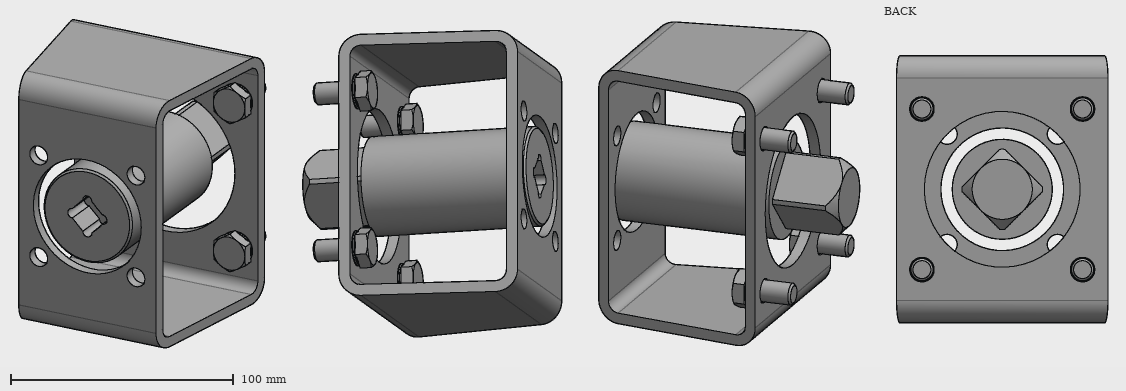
import cadquery as cq
import math

HEIGHT = 120.0
DEPTH = 80.0
WALL = 5.0
BEND_RADIUS = 10.0
BACK_WIDTH = 95.0
FRONT_WIDTH = 70.0
FRONT_BORE = 55.0
BACK_BORE = 70.0
FRONT_HOLE = 9.0
FRONT_PITCH = 49.5
BACK_HOLE = 11.0
BACK_PITCH = 72.1

SHAFT_DIAMETER = 45.0
SHAFT_EDGE = 1.0
TANG_LENGTH = 30.0
TANG_OVERHANG = 27.0
TANG_FLATS = 27.0
TANG_CORNERS = 36.0
TANG_CHAMFER = (TANG_CORNERS - TANG_FLATS) / 2
SOCKET_FLATS = 14.0
SOCKET_DEPTH = 16.0
RELIEF_RADIUS = 2.3
RELIEF_REACH = 10.0

WASHER_OUTER = 16.0
WASHER_INNER = 10.5
WASHER_THICKNESS = 0.8
WASHER_CHAMFER = 0.5

SHANK_DIAMETER = 10.0
SHANK_LENGTH = 20.0
SHANK_CHAMFER = 1.0
COLLAR_DIAMETER = 14.6
COLLAR_HEIGHT = 0.8
HEX_FLATS = 16.0
HEX_HEIGHT = 5.8
HEX_CHAMFER_ANGLE = 30.0
HEX_HALF_SECTOR = 30.0

TANG_START = DEPTH + TANG_OVERHANG - TANG_LENGTH
INNER_BACK = DEPTH - WALL
BOLT_SEAT = INNER_BACK - WASHER_THICKNESS


def circle_prism(diameter, y_start, length):
    """Cylinder on the Y axis running toward +Y."""
    return cq.Workplane("XZ", origin=(0, y_start, 0)).circle(diameter / 2).extrude(-length)


def hole_set(diameter, pitch, y_start, length):
    """Four cylinders along Y on a square pattern."""
    plane = cq.Workplane("XZ", origin=(0, y_start, 0))
    return plane.rect(pitch, pitch, forConstruction=True).vertices().circle(diameter / 2).extrude(-length)


def make_housing():
    """Bent tube, cut to a taper and pierced in its front and back walls."""
    middle = (0, DEPTH / 2, 0)
    outer = cq.Workplane("XY", origin=middle).box(BACK_WIDTH, DEPTH, HEIGHT)
    outer = outer.edges("|X").fillet(BEND_RADIUS)
    inner = cq.Workplane("XY", origin=middle).box(BACK_WIDTH, DEPTH - 2 * WALL, HEIGHT - 2 * WALL)
    inner = inner.edges("|X").fillet(BEND_RADIUS - WALL)
    taper = (
        cq.Workplane("XY", origin=(0, 0, -HEIGHT / 2))
        .moveTo(-FRONT_WIDTH / 2, 0)
        .lineTo(FRONT_WIDTH / 2, 0)
        .lineTo(BACK_WIDTH / 2, DEPTH)
        .lineTo(-BACK_WIDTH / 2, DEPTH)
        .close()
        .extrude(HEIGHT)
    )
    tube = outer.cut(inner).intersect(taper)
    front_cuts = circle_prism(FRONT_BORE, 0, WALL).union(hole_set(FRONT_HOLE, FRONT_PITCH, 0, WALL))
    back_cuts = circle_prism(BACK_BORE, INNER_BACK, WALL).union(
        hole_set(BACK_HOLE, BACK_PITCH, INNER_BACK, WALL)
    )
    return tube.cut(front_cuts).cut(back_cuts)


def diamond_prism(flats, y_start, length):
    """Square bar along Y, standing on a corner."""
    bar = cq.Workplane("XZ", origin=(0, y_start, 0)).rect(flats, flats).extrude(-length)
    return bar.rotate((0, 0, 0), (0, 1, 0), 45)


def make_tang():
    """Male square with its corners turned round and its end chamfered to the flats."""
    turned = circle_prism(TANG_CORNERS, TANG_START, TANG_LENGTH).faces(">Y").chamfer(TANG_CHAMFER)
    return diamond_prism(TANG_FLATS, TANG_START, TANG_LENGTH).intersect(turned)


def make_socket():
    """Female square with a round relief in each corner."""
    reliefs = (
        cq.Workplane("XZ")
        .polarArray(RELIEF_REACH - RELIEF_RADIUS, 0, 360, 4)
        .circle(RELIEF_RADIUS)
        .extrude(-SOCKET_DEPTH)
    )
    return diamond_prism(SOCKET_FLATS, 0, SOCKET_DEPTH).union(reliefs)


def make_shaft():
    """Round barrel, flush with the housing front, with its tang and socket."""
    barrel = circle_prism(SHAFT_DIAMETER, 0, TANG_START).faces("<Y").chamfer(SHAFT_EDGE)
    return barrel.union(make_tang()).cut(make_socket())


def make_washer(x, z):
    """Washer lying on the inner back face, chamfered on the bolt head side."""
    disc = circle_prism(WASHER_OUTER, BOLT_SEAT, WASHER_THICKNESS).faces("<Y").chamfer(WASHER_CHAMFER)
    bore = circle_prism(WASHER_INNER, BOLT_SEAT, WASHER_THICKNESS)
    return disc.cut(bore).translate((x, 0, z))


def make_hex():
    """Hexagon with flats toward -X and +X, corners chamfered on the front face."""
    corner_diameter = HEX_FLATS / math.cos(math.radians(HEX_HALF_SECTOR))
    bevel_width = (corner_diameter - HEX_FLATS) / 2
    bevel_depth = bevel_width * math.tan(math.radians(HEX_CHAMFER_ANGLE))
    y_back = BOLT_SEAT - COLLAR_HEIGHT
    y_front = y_back - HEX_HEIGHT
    block = cq.Workplane("XZ", origin=(0, y_front, 0)).polygon(6, corner_diameter).extrude(-HEX_HEIGHT)
    block = block.rotate((0, 0, 0), (0, 1, 0), HEX_HALF_SECTOR)
    envelope = (
        cq.Workplane("XY")
        .moveTo(0, y_front)
        .lineTo(HEX_FLATS / 2, y_front)
        .lineTo(corner_diameter / 2, y_front + bevel_depth)
        .lineTo(corner_diameter / 2, y_back)
        .lineTo(0, y_back)
        .close()
        .revolve(360, (0, 0, 0), (0, 1, 0))
    )
    return block.intersect(envelope)


def make_bolt(x, z):
    """Hexagon bolt pointing toward +Y, seated on its washer."""
    shank = circle_prism(SHANK_DIAMETER, BOLT_SEAT, SHANK_LENGTH).faces(">Y").chamfer(SHANK_CHAMFER)
    collar = circle_prism(COLLAR_DIAMETER, BOLT_SEAT - COLLAR_HEIGHT, COLLAR_HEIGHT)
    return make_hex().union(collar).union(shank).translate((x, 0, z))


housing = make_housing()
shaft = make_shaft()
washers = []
bolts = []
for side_x in (-1, 1):
    for side_z in (-1, 1):
        bolt_x = side_x * BACK_PITCH / 2
        bolt_z = side_z * BACK_PITCH / 2
        washers.append(make_washer(bolt_x, bolt_z).val())
        bolts.append(make_bolt(bolt_x, bolt_z).val())

result = cq.Compound.makeCompound([housing.val(), shaft.val(), *washers, *bolts])